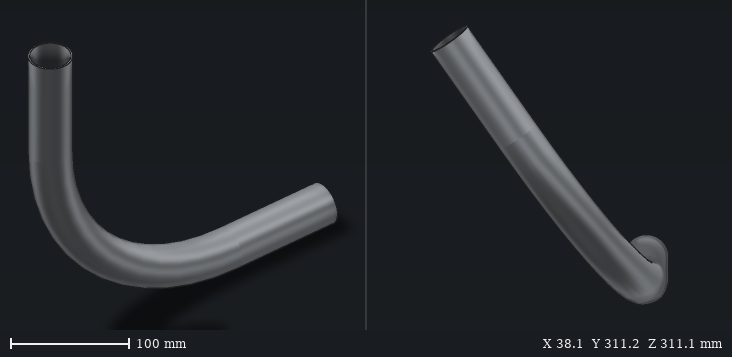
import cadquery as cq

outer_diameter = 38.1
inner_diameter = 34.9

bend_radius = 190.5
leg_length = 101.6
bend_angle = 90.0


def ring_on(plane):
    """Annular tube section centred on the origin of the given plane."""
    return cq.Workplane(plane).circle(outer_diameter / 2).circle(inner_diameter / 2)


bend_start = cq.Plane(origin=(0, 0, 0), xDir=(1, 0, 0), normal=(0, 0, 1))
bend_end = cq.Plane(origin=(0, bend_radius, -bend_radius), xDir=(1, 0, 0), normal=(0, 1, 0))


def make_bend():
    """Quarter torus about the X-parallel axis through the bend centre."""
    axis_start = (0, bend_radius)
    axis_end = (1, bend_radius)
    return ring_on(bend_start).revolve(bend_angle, axis_start, axis_end)


upright_leg = ring_on(bend_start).extrude(leg_length)
lying_leg = ring_on(bend_end).extrude(leg_length)

result = upright_leg.union(make_bend()).union(lying_leg)